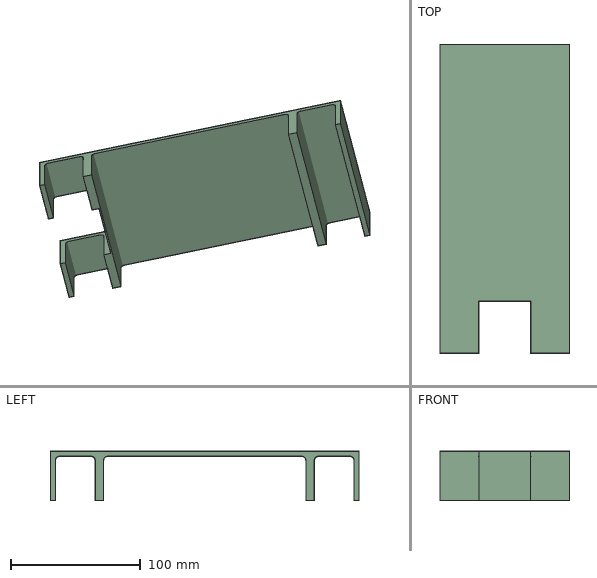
import cadquery as cq

length = 238.0
width = 100.0
height = 38.0

plate_thickness = 4.0
end_leg_thickness = 4.0
inner_leg_thickness = 6.7
end_bay_length = 30.5
corner_radius = 3.0

notch_width = 40.0
notch_depth = 40.0

inner_leg_outer_face = length / 2 - end_leg_thickness - end_bay_length
inner_leg_inner_face = inner_leg_outer_face - inner_leg_thickness
bay_depth = height - plate_thickness


def bay(y_center, bay_length):
    """Open-bottomed channel across the width, rounded where it meets the plate."""
    return (
        cq.Workplane("XY")
        .box(width, bay_length, bay_depth, centered=(True, True, False))
        .edges("|X and >Z")
        .fillet(corner_radius)
        .translate((0, y_center, 0))
    )


body = cq.Workplane("XY").box(width, length, height, centered=(True, True, False))

end_bay_center = inner_leg_outer_face + end_bay_length / 2
body = body.cut(bay(0, 2 * inner_leg_inner_face))
for side in (-1, 1):
    body = body.cut(bay(side * end_bay_center, end_bay_length))

notch = (
    cq.Workplane("XY")
    .box(notch_width, notch_depth, height, centered=(True, False, False))
    .translate((0, -length / 2, 0))
)
result = body.cut(notch)